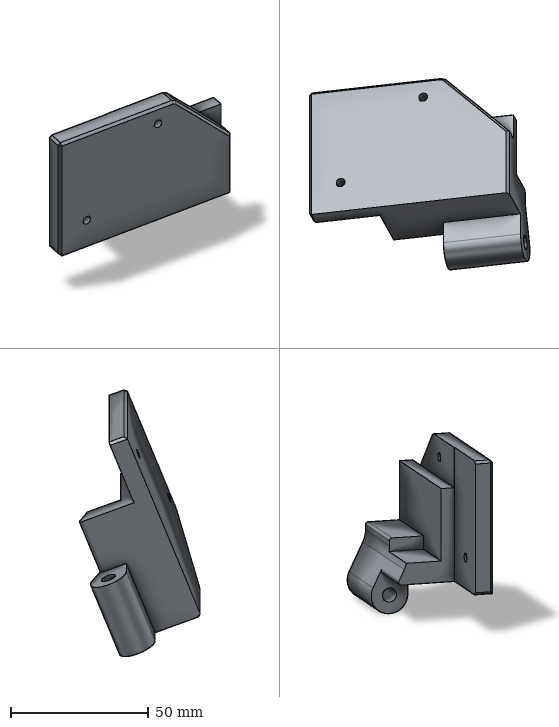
import cadquery as cq
import math

plate_length = 75.0
plate_height = 50.0
plate_thickness = 6.8
plate_outer_x = 25.0
plate_bevel = 1.0
corner_cut = 24.5

pad_thickness = 0.2
pad_start_y = 25.0

screw_diameter = 3.2
screw_spacing = 31.0
screw_first_y = 11.9
screw_first_z = 11.7

wall_thickness = 5.0
wall_height = 35.0
shelf_height = 8.0
block_height = 13.0
block_start_y = 46.0
edge_radius = 1.0

barrel_radius = 7.0
barrel_center_z = -8.2
pin_diameter = 5.3

flank_angle = math.radians(26.0)
block_face_x = 0.0
blend_radius = 10.0

plate_inner_x = plate_outer_x - plate_thickness
pad_x = plate_inner_x - pad_thickness
wall_x = pad_x - wall_thickness

flank_start = (
    -barrel_radius * math.cos(flank_angle),
    barrel_center_z + barrel_radius * math.sin(flank_angle),
)
flank_slope = math.tan(flank_angle)

barrel_middle = (
    -barrel_radius * math.sin(flank_angle / 2),
    barrel_center_z - barrel_radius * math.cos(flank_angle / 2),
)


def flank_x(z):
    """X of the straight flank line at height z."""
    return flank_start[0] + (z - flank_start[1]) * flank_slope


def flank_z(x):
    """Z of the straight flank line at position x."""
    return flank_start[1] + (x - flank_start[0]) / flank_slope


blend_reach = blend_radius * math.tan(flank_angle / 2)
blend_corner_z = flank_z(block_face_x)
blend_top = (block_face_x, blend_corner_z + blend_reach)
blend_bottom = (
    block_face_x - blend_reach * math.sin(flank_angle),
    blend_corner_z - blend_reach * math.cos(flank_angle),
)
blend_middle = (
    block_face_x - blend_radius * (1 - math.cos(flank_angle / 2)),
    blend_top[1] - blend_radius * math.sin(flank_angle / 2),
)


def extrude_along_y(profile, start_y, end_y):
    """Extrude a closed XZ profile from start_y to end_y."""
    return profile.extrude(-(end_y - start_y)).translate((0, start_y, 0))


def box(x_range, y_range, z_range):
    """Box spanning the given (low, high) ranges."""
    size = [high - low for low, high in (x_range, y_range, z_range)]
    corner = (x_range[0], y_range[0], z_range[0])
    return cq.Workplane("XY").box(*size, centered=False).translate(corner)


def make_plate():
    """Plate and pad sharing one outline.

    The outer rim is bevelled except along the bottom. The corners are bevelled
    except the two at the +Y end.
    """
    outline = [
        (0, 0),
        (plate_length, 0),
        (plate_length, plate_height - corner_cut),
        (plate_length - corner_cut, plate_height),
        (0, plate_height),
    ]
    thickness = plate_thickness + pad_thickness
    plate = cq.Workplane("YZ").polyline(outline).close().extrude(thickness)
    plate = plate.translate((pad_x, 0, 0))
    bevelled_edges = plate.edges("|X").edges("not >Y").add(plate.faces(">X").edges("not <Z"))
    plate = bevelled_edges.chamfer(plate_bevel)
    pad_relief = box((pad_x, plate_inner_x), (0, pad_start_y), (0, plate_height))
    return plate.cut(pad_relief)


def make_wall():
    return box((wall_x, pad_x), (pad_start_y, plate_length), (0, wall_height))


def make_shelf():
    """Low shelf with a sloped flank and a rounded bottom edge."""
    profile = (
        cq.Workplane("XZ")
        .moveTo(flank_x(0), 0)
        .lineTo(*blend_bottom)
        .threePointArc(blend_middle, blend_top)
        .lineTo(block_face_x, block_height)
        .lineTo(wall_x, block_height)
        .lineTo(wall_x, 0)
        .close()
    )
    shelf = extrude_along_y(profile, pad_start_y, block_start_y)
    shelf = shelf.edges("|Y and <X and <Z").fillet(edge_radius)
    x_range = (flank_x(0), wall_x)
    return shelf.cut(box(x_range, (pad_start_y, block_start_y), (shelf_height, block_height)))


def make_hinge_block():
    """Block whose flank runs down into the hinge barrel."""
    profile = (
        cq.Workplane("XZ")
        .moveTo(*flank_start)
        .lineTo(*blend_bottom)
        .threePointArc(blend_middle, blend_top)
        .lineTo(block_face_x, block_height)
        .lineTo(wall_x, block_height)
        .lineTo(wall_x, 0)
        .lineTo(barrel_radius, 0)
        .lineTo(barrel_radius, barrel_center_z)
        .threePointArc(barrel_middle, flank_start)
        .close()
    )
    block = extrude_along_y(profile, block_start_y, plate_length)
    top_edge = cq.selectors.NearestToPointSelector(
        (block_face_x, (block_start_y + plate_length) / 2, block_height)
    )
    block = block.edges("|Y").edges(top_edge).fillet(edge_radius)
    pin_profile = cq.Workplane("XZ").center(0, barrel_center_z).circle(pin_diameter / 2)
    return block.cut(extrude_along_y(pin_profile, block_start_y, plate_length))


def make_screw_holes():
    """Two screw holes on a diagonal, through the plate and pad."""
    centers = [(screw_first_y + step, screw_first_z + step) for step in (0, screw_spacing)]
    drills = cq.Workplane("YZ").pushPoints(centers).circle(screw_diameter / 2)
    return drills.extrude(plate_thickness + pad_thickness).translate((pad_x, 0, 0))


result = (
    make_plate()
    .cut(make_screw_holes())
    .union(make_wall())
    .union(make_shelf())
    .union(make_hinge_block())
)